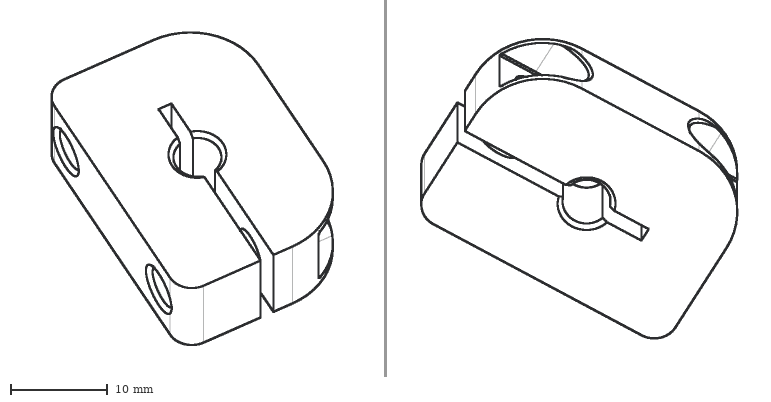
import cadquery as cq
import math

length = 30.0
width = 21.0
height = length / 3
front_radius = 2.55
rear_radius = 8.0

bore_y = height
bore_diameter = 4.95
slot_width = 1.5
slot_end_x = -length / 2 + 8.0

screw_diameter = 4.5
screw_spacing = length * 2 / 3
screw_z = height / 2
head_diameter = 8.0
head_depth = 4.5
floor_chamfer = 0.2
mouth_chamfer = 0.3

chamfer = 0.5


def make_block():
    block = cq.Workplane("XY").box(length, width, height, centered=(True, False, False))
    block = block.edges("|Z and <Y").fillet(front_radius)
    return block.edges("|Z and >Y").fillet(rear_radius)


def cone(center, direction, diameter):
    """Countersink that narrows along direction to the hole diameter."""
    return cq.Workplane(obj=cq.Solid.makeCone(
        diameter / 2 + chamfer, diameter / 2, chamfer, cq.Vector(*center), cq.Vector(*direction)
    ))


def make_bore():
    bore = cq.Workplane("XY").center(0, bore_y).circle(bore_diameter / 2).extrude(height)
    bore = bore.union(cone((0, bore_y, height), (0, 0, -1), bore_diameter))
    return bore.union(cone((0, bore_y, 0), (0, 0, 1), bore_diameter))


def make_slot():
    slot_length = length / 2 - slot_end_x
    slot = cq.Workplane("XY").box(slot_length, slot_width, height, centered=(False, True, False))
    return slot.translate((slot_end_x, bore_y, 0))


def recess_layer(x, start_y, start_radius, end_radius, depth):
    """Cylinder or cone along Y, extended outward past the side of the block."""
    outer_x = math.copysign(length, x)
    taper = math.degrees(math.atan2(start_radius - end_radius, depth))
    outline = (
        cq.Workplane("XZ", origin=((x + outer_x) / 2, start_y, screw_z))
        .slot2D(abs(outer_x - x) + 2 * start_radius, 2 * start_radius)
    )
    return outline.extrude(-depth, taper=taper)


def make_head_recess(x):
    radius = head_diameter / 2
    floor_y = width - head_depth
    wall_y = floor_y + floor_chamfer
    mouth_y = width - mouth_chamfer
    recess = recess_layer(x, floor_y, radius - floor_chamfer, radius, floor_chamfer)
    recess = recess.union(recess_layer(x, wall_y, radius, radius, mouth_y - wall_y))
    return recess.union(recess_layer(x, mouth_y, radius, radius + mouth_chamfer, mouth_chamfer))


def make_screw_hole(x):
    hole = cq.Workplane("XZ", origin=(x, 0, screw_z)).circle(screw_diameter / 2).extrude(-width)
    hole = hole.union(cone((x, 0, screw_z), (0, 1, 0), screw_diameter))
    return hole.union(make_head_recess(x))


result = make_block().cut(make_bore()).cut(make_slot())
for side in (-1, 1):
    result = result.cut(make_screw_hole(side * screw_spacing / 2))